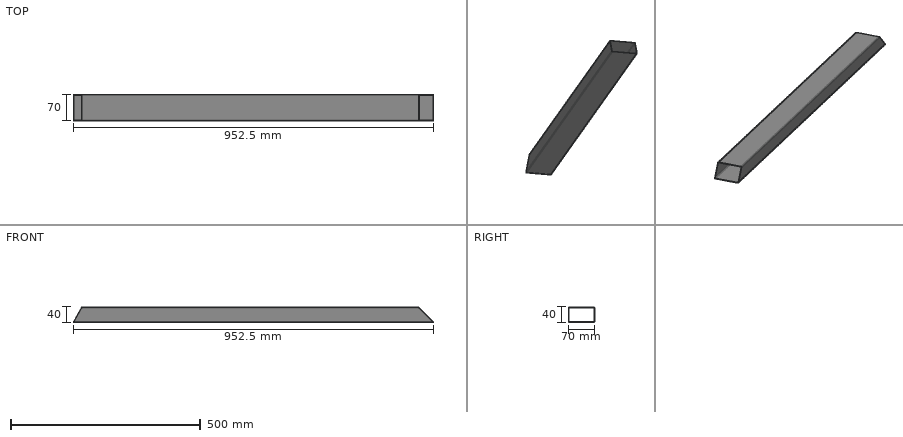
import cadquery as cq
import math

length = 952.53
width = 70.0
height = 40.0
wall = 2.0
corner_radius = 2.5
left_cut_angle = 29.0
right_cut_angle = 45.0

bore_width = width - 2 * wall
bore_height = height - 2 * wall
bore_corner_radius = corner_radius - wall
left_setback = height * math.tan(math.radians(left_cut_angle))
right_setback = height * math.tan(math.radians(right_cut_angle))


def make_rounded_bar(bar_width, bar_height, base_height, edge_radius):
    """Full-length bar centred on X and Y, with its long edges rounded."""
    return (
        cq.Workplane("XY")
        .workplane(offset=base_height)
        .box(length, bar_width, bar_height, centered=(True, True, False))
        .edges("|X")
        .fillet(edge_radius)
    )


def make_tube():
    """Square-ended tube of even wall thickness, standing on Z = 0."""
    outer = make_rounded_bar(width, height, 0, corner_radius)
    bore = make_rounded_bar(bore_width, bore_height, wall, bore_corner_radius)
    return outer.cut(bore)


def make_mitre_envelope():
    """Trapezoid in side profile that leaves the tube with its two slanted ends."""
    half_length = length / 2
    profile = [
        (-half_length, 0),
        (half_length, 0),
        (half_length - right_setback, height),
        (-half_length + left_setback, height),
    ]
    return cq.Workplane("XZ").polyline(profile).close().extrude(width / 2, both=True)


result = make_tube().intersect(make_mitre_envelope())